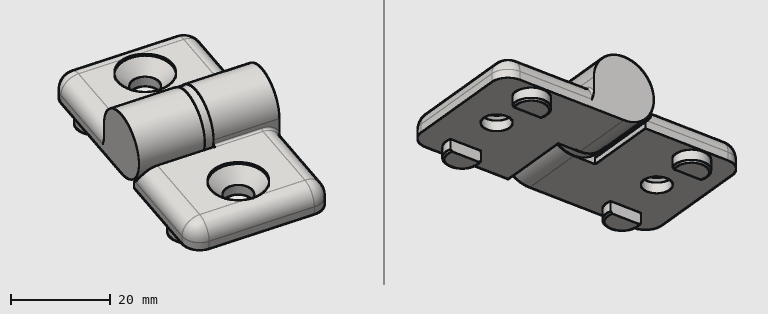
import cadquery as cq
import math

LENGTH = 60.0
WIDTH = 32.0
PLATE_THICKNESS = 6.0
EDGE_RADIUS = 4.0

KNUCKLE_RADIUS = 7.5
AXIS_HEIGHT = KNUCKLE_RADIUS
WASHER_DIAMETER = 14.8
WASHER_THICKNESS = 2.0
KNUCKLE_LENGTH = (WIDTH - WASHER_THICKNESS) / 2
ROOT_RADIUS = 0.5

CLEARANCE_RADIUS = 8.0
RELIEF_X = 5.35

SCREW_X = 20.0
HOLE_DIAMETER = 6.4
SINK_DIAMETER = 12.4
SINK_LIP = 0.5
SINK_ANGLE = 90.0

FOOT_DIAMETER = 8.0
FOOT_RADIUS = FOOT_DIAMETER / 2
FOOT_HEIGHT = 2.8
FOOT_CHAMFER = 0.4
FOOT_END_Y = 15.7
FOOT_FLAT_Y = 10.5


def box(x_min, x_max, y_min, y_max, z_min, z_max):
    """Axis-aligned block given by its limits."""
    size = (x_max - x_min, y_max - y_min, z_max - z_min)
    return cq.Workplane("XY").box(*size, centered=False).translate((x_min, y_min, z_min))


def disc_along_y(radius, y_min, y_max):
    """Cylinder on the pin axis between two Y positions."""
    return (
        cq.Workplane("XZ", origin=(0, y_min, 0))
        .center(0, AXIS_HEIGHT)
        .circle(radius)
        .extrude(y_min - y_max)
    )


def make_plate():
    """Rounded left-hand plate, ending square below the pin axis."""
    whole = (
        box(-LENGTH / 2, LENGTH / 2, -WIDTH / 2, WIDTH / 2, 0, PLATE_THICKNESS)
        .edges("|Z")
        .fillet(EDGE_RADIUS)
        .faces(">Z")
        .edges()
        .fillet(EDGE_RADIUS)
    )
    return whole.intersect(box(-LENGTH / 2, 0, -WIDTH / 2, WIDTH / 2, 0, PLATE_THICKNESS))


def make_clearance():
    """Space swept by the opposite knuckle and the washer."""
    y_min = -WASHER_THICKNESS / 2
    relief = box(-RELIEF_X, 0, y_min, WIDTH / 2, 0, PLATE_THICKNESS)
    return disc_along_y(CLEARANCE_RADIUS, y_min, WIDTH / 2).union(relief)


def make_knuckle():
    """Front knuckle with a flat wall running down to the mounting face."""
    y_min = -WIDTH / 2
    y_max = y_min + KNUCKLE_LENGTH
    web = box(-KNUCKLE_RADIUS, 0, y_min, y_max, 0, AXIS_HEIGHT)
    return disc_along_y(KNUCKLE_RADIUS, y_min, y_max).union(web)


def make_root_fillet():
    """Concave fillet along the knuckle wall, following the plate's rounded front edge."""
    y_bend = -WIDTH / 2 + EDGE_RADIUS
    z_bend = PLATE_THICKNESS - EDGE_RADIUS
    y_max = -WIDTH / 2 + KNUCKLE_LENGTH
    wall_x = -KNUCKLE_RADIUS
    centre = (wall_x - ROOT_RADIUS, PLATE_THICKNESS + ROOT_RADIUS)
    arc_offset = ROOT_RADIUS * math.sqrt(0.5)
    section = (
        cq.Workplane("XZ", origin=(0, y_bend, 0))
        .moveTo(wall_x, z_bend)
        .lineTo(wall_x, centre[1])
        .threePointArc((centre[0] + arc_offset, centre[1] - arc_offset), (centre[0], PLATE_THICKNESS))
        .lineTo(centre[0], z_bend)
        .close()
    )
    profile = cq.Face.makeFromWires(section.val())
    straight = cq.Workplane(cq.Solid.extrudeLinear(profile, cq.Vector(0, y_max - y_bend, 0)))
    axis_start = cq.Vector(centre[0], y_bend, z_bend)
    axis_end = cq.Vector(wall_x, y_bend, z_bend)
    bend = cq.Workplane(cq.Solid.revolve(profile, 90, axis_start, axis_end))
    limits = box(centre[0], wall_x, -WIDTH / 2, y_max, 0, centre[1])
    return straight.union(bend).intersect(limits)


def make_screw_hole():
    """Through hole with a countersink and a short straight rim."""
    hole_radius = HOLE_DIAMETER / 2
    sink_radius = SINK_DIAMETER / 2
    cone_top = PLATE_THICKNESS - SINK_LIP
    cone_bottom = cone_top - (sink_radius - hole_radius) / math.tan(math.radians(SINK_ANGLE / 2))
    return (
        cq.Workplane("XZ")
        .lineTo(hole_radius, 0)
        .lineTo(hole_radius, cone_bottom)
        .lineTo(sink_radius, cone_top)
        .lineTo(sink_radius, PLATE_THICKNESS)
        .lineTo(0, PLATE_THICKNESS)
        .close()
        .revolve(360, (0, 0, 0), (0, 1, 0))
        .translate((-SCREW_X, 0, 0))
    )


def make_foot(side):
    """Round foot with an inner flat; side is +1 for the rear foot and -1 for the front one."""
    centre_y = FOOT_END_Y - FOOT_RADIUS
    foot = (
        cq.Workplane("XY")
        .center(0, centre_y)
        .circle(FOOT_RADIUS)
        .extrude(-FOOT_HEIGHT)
        .faces("<Z")
        .chamfer(FOOT_CHAMFER)
        .intersect(box(-FOOT_RADIUS, FOOT_RADIUS, FOOT_FLAT_Y, FOOT_END_Y, -FOOT_HEIGHT, 0))
    )
    if side < 0:
        foot = foot.mirror("XZ")
    return foot.translate((-SCREW_X, 0, 0))


def make_leaf(angle):
    """One hinge leaf, turned about Z; both leaves are the same part."""
    leaf = make_plate().cut(make_clearance())
    leaf = leaf.union(make_knuckle()).union(make_root_fillet())
    leaf = leaf.cut(make_screw_hole())
    for side in (-1, 1):
        leaf = leaf.union(make_foot(side))
    return leaf.rotate((0, 0, 0), (0, 0, 1), angle)


def make_washer():
    """Spacer disc between the two knuckles."""
    return disc_along_y(WASHER_DIAMETER / 2, -WASHER_THICKNESS / 2, WASHER_THICKNESS / 2)


leaves = [make_leaf(angle) for angle in (0, 180)]
washer = make_washer()

result = cq.Compound.makeCompound([*(leaf.val() for leaf in leaves), washer.val()])